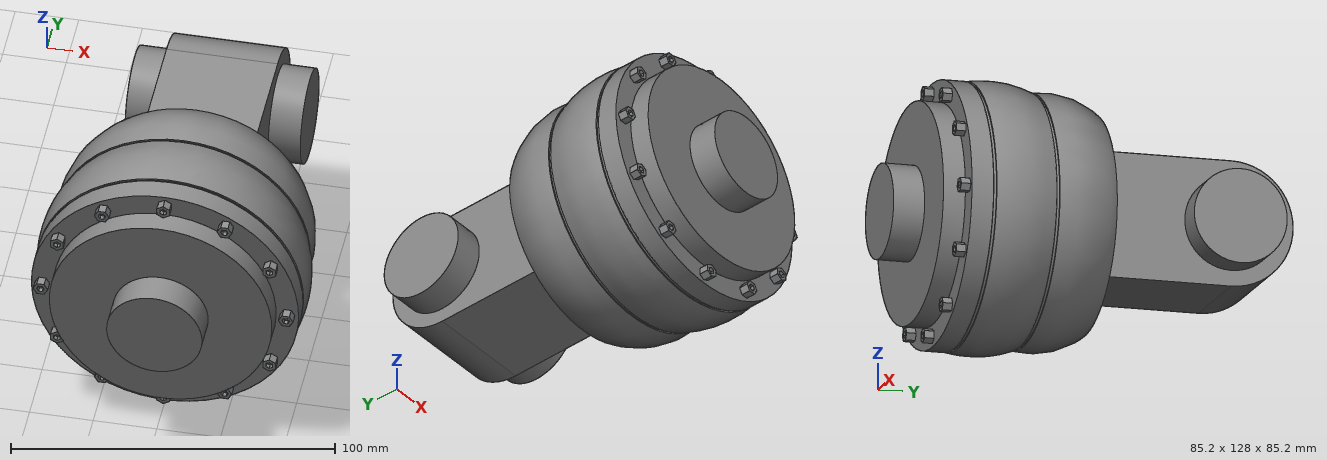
import cadquery as cq

OVERALL_LENGTH = 128.0

SHAFT_RADIUS = 15.0
SHAFT_LENGTH = 10.0
COVER_RADIUS = 35.0
COVER_THICKNESS = 7.0
FLANGE_RADIUS = 42.0
FLANGE_THICKNESS = 7.0

NECK_LENGTH = 1.0
RING_LENGTH = 20.0
FRONT_NECK_RADIUS = 41.5
FRONT_RING_START_RADIUS = 42.0
FRONT_RING_CREST_RADIUS = 42.6
FRONT_RING_CREST_OFFSET = 6.4
FRONT_RING_END_RADIUS = 40.0
REAR_NECK_RADIUS = 39.4
REAR_RING_START_RADIUS = 40.0
REAR_RING_CREST_RADIUS = 40.3
REAR_RING_CREST_OFFSET = 4.6
REAR_RING_END_RADIUS = COVER_RADIUS

SCREW_COUNT = 12
SCREW_CIRCLE_RADIUS = 38.5
SCREW_HEAD_ACROSS_CORNERS = 4.6
SCREW_HEAD_HEIGHT = 3.1
SCREW_SOCKET_ACROSS_CORNERS = 2.3
SCREW_SOCKET_DEPTH = SCREW_HEAD_HEIGHT / 2

ARM_WIDTH = 35.0
ARM_HEIGHT = 40.0
PIN_RADIUS = SHAFT_RADIUS
PIN_LENGTH = 55.0

cover_face = SHAFT_LENGTH
flange_face = cover_face + COVER_THICKNESS
flange_back = flange_face + FLANGE_THICKNESS
front_ring_start = flange_back + NECK_LENGTH
front_ring_end = front_ring_start + RING_LENGTH
rear_ring_start = front_ring_end + NECK_LENGTH
rear_ring_end = rear_ring_start + RING_LENGTH
pin_position = OVERALL_LENGTH - ARM_HEIGHT / 2


def make_body():
    """Revolve the shaft, cover, flange and both rings about the Y axis."""
    front_crest = (FRONT_RING_CREST_RADIUS, front_ring_start + FRONT_RING_CREST_OFFSET)
    rear_crest = (REAR_RING_CREST_RADIUS, rear_ring_start + REAR_RING_CREST_OFFSET)
    section_plane = cq.Plane(origin=(0, 0, 0), xDir=(0, 0, 1), normal=(-1, 0, 0))
    profile = (
        cq.Workplane(section_plane)
        .moveTo(0, 0)
        .lineTo(SHAFT_RADIUS, 0)
        .lineTo(SHAFT_RADIUS, cover_face)
        .lineTo(COVER_RADIUS, cover_face)
        .lineTo(COVER_RADIUS, flange_face)
        .lineTo(FLANGE_RADIUS, flange_face)
        .lineTo(FLANGE_RADIUS, flange_back)
        .lineTo(FRONT_NECK_RADIUS, flange_back)
        .lineTo(FRONT_NECK_RADIUS, front_ring_start)
        .lineTo(FRONT_RING_START_RADIUS, front_ring_start)
        .threePointArc(front_crest, (FRONT_RING_END_RADIUS, front_ring_end))
        .lineTo(REAR_NECK_RADIUS, front_ring_end)
        .lineTo(REAR_NECK_RADIUS, rear_ring_start)
        .lineTo(REAR_RING_START_RADIUS, rear_ring_start)
        .threePointArc(rear_crest, (REAR_RING_END_RADIUS, rear_ring_end))
        .lineTo(0, rear_ring_end)
        .close()
    )
    return profile.revolve(360, (0, 0, 0), (0, 1, 0))


def make_cross_cylinder(radius, length):
    """Cylinder on the pin axis, centred on the arm."""
    return (
        cq.Workplane("YZ")
        .center(pin_position, 0)
        .circle(radius)
        .extrude(length / 2, both=True)
    )


def make_arm():
    """Flat arm with a full-round end around the pin axis."""
    straight_length = pin_position - rear_ring_end
    bar = cq.Workplane("XY").box(ARM_WIDTH, straight_length, ARM_HEIGHT)
    bar = bar.translate((0, rear_ring_end + straight_length / 2, 0))
    return bar.union(make_cross_cylinder(ARM_HEIGHT / 2, ARM_WIDTH))


def make_screw_head():
    """Hexagon socket head on the flange face, at the +X side of the screw circle."""
    head = (
        cq.Workplane("XZ", origin=(SCREW_CIRCLE_RADIUS, flange_face, 0))
        .polygon(6, SCREW_HEAD_ACROSS_CORNERS)
        .extrude(SCREW_HEAD_HEIGHT)
    )
    socket = (
        cq.Workplane("XZ", origin=(SCREW_CIRCLE_RADIUS, flange_face - SCREW_HEAD_HEIGHT, 0))
        .polygon(6, SCREW_SOCKET_ACROSS_CORNERS)
        .extrude(-SCREW_SOCKET_DEPTH)
    )
    return head.cut(socket)


result = make_body().union(make_arm()).union(make_cross_cylinder(PIN_RADIUS, PIN_LENGTH))
screw_head = make_screw_head()
for index in range(SCREW_COUNT):
    angle = index * 360 / SCREW_COUNT
    result = result.union(screw_head.rotate((0, 0, 0), (0, 1, 0), angle))